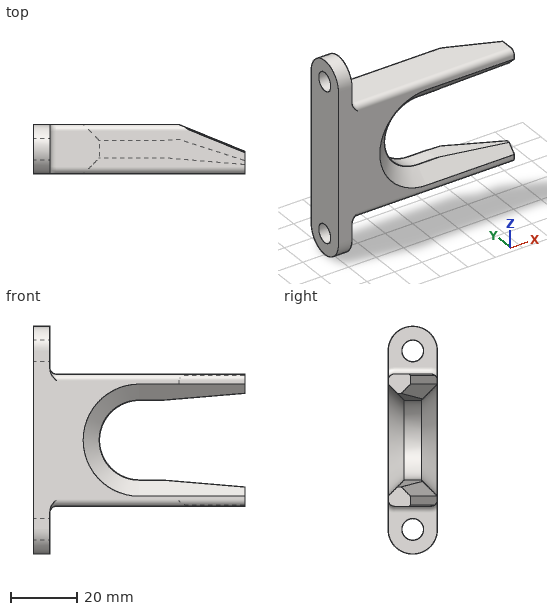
import cadquery as cq

plate_height = 69.0
depth = 15.0
plate_thickness = 5.0
hole_diameter = 6.5
hole_spacing = plate_height - depth

fork_tip_x = 64.0
fork_height = 40.0
edge_radius = 2.0
root_radius = 2.0
root_margin = 0.7

slot_radius = 12.0
slot_center_x = 32.0
bevel = 4.8
rim_ledge = 0.15
slot_mouth_radius = slot_radius + rim_ledge + bevel
flare_start_x = 38.65
flare_half_height = 14.15

slope_start_x = 44.0
tip_depth = 6.8
slope_edge_bevel = 0.4

clearance = 6.9
selection_reach = 0.1
sweep_runs = 3


def make_plate():
    """Round-ended plate with a mounting hole at each end."""
    plate = (
        cq.Workplane("YZ")
        .center(depth / 2, 0)
        .slot2D(plate_height, depth, 90)
        .extrude(plate_thickness)
    )
    holes = (
        cq.Workplane("YZ")
        .center(depth / 2, 0)
        .pushPoints([(0, -hole_spacing / 2), (0, hole_spacing / 2)])
        .circle(hole_diameter / 2)
        .extrude(plate_thickness)
    )
    return plate.cut(holes)


def make_fork_block():
    """Rounded block whose root flares into the plate, trimmed to the plate's width."""
    block = (
        cq.Workplane("XY")
        .box(fork_tip_x, depth, fork_height, centered=(False, False, True))
        .edges("|X")
        .fillet(edge_radius)
    )
    base_height = fork_height + 2 * root_radius + 2 * root_margin
    base = (
        cq.Workplane("XY")
        .box(plate_thickness, depth + 2 * clearance, base_height, centered=(False, True, True))
        .translate((0, depth / 2, 0))
    )
    half_height = fork_height / 2
    root_edges = cq.selectors.BoxSelector(
        (plate_thickness - selection_reach, -selection_reach, -half_height - selection_reach),
        (plate_thickness + selection_reach, depth + selection_reach, half_height + selection_reach),
    )
    flared = base.union(block).edges(root_edges).fillet(root_radius)
    envelope = cq.Workplane("XY").box(fork_tip_x, depth, base_height, centered=(False, False, True))
    return flared.intersect(envelope)


def slot_outline(y, radius):
    """Straight-sided slot outline at depth y, open past the fork tip."""
    end_x = fork_tip_x + clearance
    return (
        cq.Workplane("XZ", origin=(0, y, 0))
        .moveTo(end_x, radius)
        .lineTo(slot_center_x, radius)
        .threePointArc((slot_center_x - radius, 0), (slot_center_x, -radius))
        .lineTo(end_x, -radius)
        .close()
    )


def make_slot():
    """Slot with both rims bevelled down to a thin ledge and its walls flaring toward the tip."""
    slot = slot_outline(0, slot_radius).extrude(-depth)
    front_bevel = slot_outline(0, slot_mouth_radius).extrude(-bevel, taper=45)
    back_bevel = slot_outline(depth, slot_mouth_radius).extrude(bevel, taper=45)
    flare = (
        cq.Workplane("XZ")
        .moveTo(flare_start_x, slot_radius)
        .lineTo(fork_tip_x, flare_half_height)
        .lineTo(fork_tip_x, -flare_half_height)
        .lineTo(flare_start_x, -slot_radius)
        .close()
        .extrude(-depth)
    )
    return slot.union(front_bevel).union(back_bevel).union(flare)


def make_slope_cutter():
    """Sloped cut whose section also bevels the slot rim and the outer edges."""
    run = fork_tip_x - slope_start_x
    drop = depth - tip_depth
    start_x = slope_start_x - run
    start_y = depth + drop
    half_height = fork_height / 2
    side_z = half_height + clearance
    upper_half = [
        (start_y + depth, side_z),
        (start_y - slope_edge_bevel - clearance, side_z),
        (start_y - slope_edge_bevel, half_height),
        (start_y, half_height - slope_edge_bevel),
        (start_y, slot_mouth_radius),
        (start_y - bevel, slot_radius + rim_ledge),
    ]
    lower_half = [(y, -z) for y, z in reversed(upper_half)]
    section = [cq.Vector(start_x, y, z) for y, z in upper_half + lower_half]
    outline = cq.Wire.makePolygon(section, close=True)
    direction = cq.Vector(sweep_runs * run, -sweep_runs * drop, 0)
    return cq.Workplane(cq.Solid.extrudeLinear(outline, [], direction))


fork = make_fork_block().cut(make_slot()).cut(make_slope_cutter())
result = make_plate().union(fork)